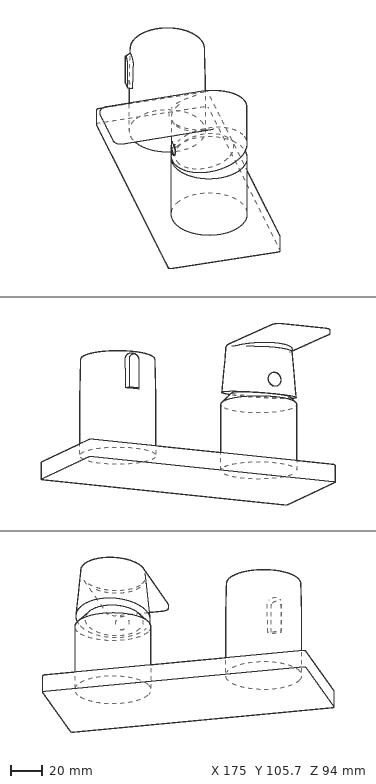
import cadquery as cq
import math

PLATE_LENGTH = 175.0
PLATE_WIDTH = 74.7
PLATE_HEIGHT = 11.7
PLATE_CORNER_RADIUS = 1.8
PLATE_TOP_FILLET = 0.9

BODY_SPACING = 100.1
BODY_RADIUS = 24.5
DIAL_X = -BODY_SPACING / 2
MIXER_X = BODY_SPACING / 2

DIAL_BASE_TOP = 52.3
DIAL_TOP = 75.8
DIAL_TOP_RADIUS = 24.0
DIAL_FILLET = 0.9

POINTER_WIDTH = 10.5
POINTER_BOTTOM = 51.1
POINTER_TOP = 75.0
POINTER_START = 22.8
POINTER_REACH = 27.1
POINTER_TAPER = 24.0
POINTER_TURN = -2.3

MIXER_BODY_TOP = 55.3
SHOULDER_HEIGHT = 11.4
SHOULDER_TOP_RADIUS = BODY_RADIUS - SHOULDER_HEIGHT

HEAD_MIDDLE_BOTTOM = 61.5
HEAD_FRONT_BOTTOM = 57.2
HEAD_TOP_HALF_WIDTH = 20.5
HEAD_BOTTOM_HALF_WIDTH = 24.3
COLLAR_BOTTOM = 87.8
COLLAR_TOP = 90.8
COLLAR_FLARE = 2.1
PLUG_RADIUS = 4.5
PLUG_HEIGHT = 66.8
PLUG_DEPTH = 0.7

TOTAL_DEPTH = 105.7
TOTAL_HEIGHT = 94.0
LEVER_TIP_TOP = 93.1
LEVER_THICKNESS = 3.2
LEVER_HALF_WIDTH = HEAD_TOP_HALF_WIDTH
LEVER_TIP_Y = PLATE_WIDTH / 2 - TOTAL_DEPTH
LEVER_CORNER_RADIUS = 5.2
LEVER_EDGE_FILLET = 0.7


def make_plate():
    plate = cq.Workplane("XY").box(PLATE_LENGTH, PLATE_WIDTH, PLATE_HEIGHT, centered=(True, True, False))
    plate = plate.edges("|Z").fillet(PLATE_CORNER_RADIUS)
    return plate.faces(">Z").edges().fillet(PLATE_TOP_FILLET)


def make_pointer():
    half_width = POINTER_WIDTH / 2
    root = POINTER_BOTTOM - half_width
    shoulder = POINTER_TOP - half_width
    ridge = (
        cq.Workplane("XZ", origin=(0, -POINTER_START, 0))
        .moveTo(-half_width, root)
        .lineTo(-half_width, shoulder)
        .threePointArc((0, POINTER_TOP), (half_width, shoulder))
        .lineTo(half_width, root)
        .close()
        .extrude(POINTER_REACH - POINTER_START, taper=POINTER_TAPER)
    )
    below_pointer = cq.Workplane("XY").rect(4 * BODY_RADIUS, 4 * BODY_RADIUS).extrude(POINTER_BOTTOM)
    ridge = ridge.cut(below_pointer)
    return ridge.rotate((0, 0, 0), (0, 0, 1), POINTER_TURN)


def make_dial():
    base = cq.Workplane("XY").circle(BODY_RADIUS).extrude(DIAL_BASE_TOP)
    knob = (
        cq.Workplane("XY", origin=(0, 0, DIAL_BASE_TOP))
        .circle(BODY_RADIUS)
        .workplane(offset=DIAL_TOP - DIAL_BASE_TOP)
        .circle(DIAL_TOP_RADIUS)
        .loft()
        .faces(">Z").edges().fillet(DIAL_FILLET)
    )
    return base.union(knob).union(make_pointer()).translate((DIAL_X, 0, 0))


def make_mixer_body():
    profile = [
        (0, 0),
        (BODY_RADIUS, 0),
        (BODY_RADIUS, MIXER_BODY_TOP),
        (SHOULDER_TOP_RADIUS, MIXER_BODY_TOP + SHOULDER_HEIGHT),
        (0, MIXER_BODY_TOP + SHOULDER_HEIGHT),
    ]
    return cq.Workplane("XZ").polyline(profile).close().revolve(360, (0, 0, 0), (0, 1, 0))


def make_head():
    head_top = LEVER_TIP_TOP - LEVER_EDGE_FILLET
    head = (
        cq.Workplane("XY", origin=(0, 0, HEAD_FRONT_BOTTOM))
        .ellipse(HEAD_BOTTOM_HALF_WIDTH, BODY_RADIUS)
        .workplane(offset=head_top - HEAD_FRONT_BOTTOM)
        .ellipse(HEAD_TOP_HALF_WIDTH, BODY_RADIUS)
        .loft()
    )
    slope = (HEAD_MIDDLE_BOTTOM - HEAD_FRONT_BOTTOM) / BODY_RADIUS
    reach = 2 * BODY_RADIUS
    rise = slope * reach
    below_head = (
        cq.Workplane("YZ")
        .polyline([(-reach, 0), (-reach, HEAD_MIDDLE_BOTTOM - rise), (reach, HEAD_MIDDLE_BOTTOM + rise), (reach, 0)])
        .close()
        .extrude(reach, both=True)
    )
    plug = (
        cq.Workplane("XZ", origin=(0, PLUG_DEPTH - BODY_RADIUS, PLUG_HEIGHT))
        .circle(PLUG_RADIUS)
        .extrude(BODY_RADIUS)
    )
    return head.cut(below_head).cut(plug)


def make_collar():
    """Flared blend between the front of the head and the underside of the lever."""
    flare = (
        cq.Workplane("XY", origin=(0, 0, COLLAR_BOTTOM))
        .ellipse(HEAD_TOP_HALF_WIDTH, BODY_RADIUS)
        .workplane(offset=COLLAR_TOP - COLLAR_BOTTOM)
        .ellipse(HEAD_TOP_HALF_WIDTH, BODY_RADIUS + COLLAR_FLARE)
        .loft()
    )
    rear_half = cq.Workplane("XZ").rect(4 * BODY_RADIUS, 4 * TOTAL_HEIGHT).extrude(-2 * BODY_RADIUS)
    return flare.cut(rear_half)


def make_lever():
    length = BODY_RADIUS - LEVER_TIP_Y
    tilt = math.degrees(math.atan2(TOTAL_HEIGHT - LEVER_TIP_TOP, length))
    straight = (
        cq.Workplane("XY")
        .rect(2 * LEVER_HALF_WIDTH, -2 * LEVER_TIP_Y)
        .extrude(LEVER_THICKNESS)
        .edges("|Z").fillet(LEVER_CORNER_RADIUS)
    )
    rear_half = cq.Workplane("XY").rect(4 * BODY_RADIUS, -4 * LEVER_TIP_Y).extrude(LEVER_THICKNESS)
    rear_half = rear_half.translate((0, -2 * LEVER_TIP_Y, 0))
    rounded_end = cq.Workplane("XY").ellipse(LEVER_HALF_WIDTH, BODY_RADIUS).extrude(LEVER_THICKNESS)
    lever = straight.cut(rear_half).union(rounded_end)
    lever = lever.faces("<Z or >Z").edges().fillet(LEVER_EDGE_FILLET)
    lever = lever.translate((0, -BODY_RADIUS, -LEVER_THICKNESS))
    lever = lever.rotate((0, 0, 0), (1, 0, 0), tilt)
    return lever.translate((0, BODY_RADIUS, TOTAL_HEIGHT))


mixer = make_mixer_body().union(make_head()).union(make_collar()).union(make_lever())
mixer = mixer.translate((MIXER_X, 0, 0))
result = make_plate().union(make_dial()).union(mixer)